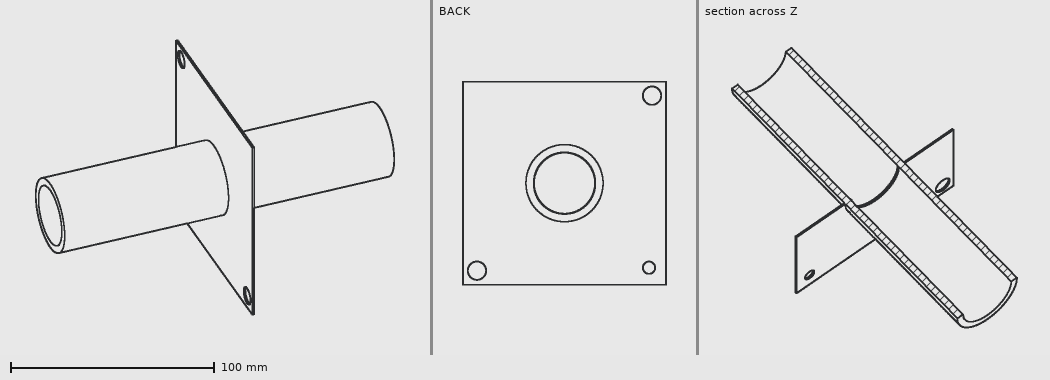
import cadquery as cq

plate_side = 100.0
plate_thickness = 1.0

tube_length = 175.0
tube_outer_diameter = 38.0
tube_bore_diameter = 30.5

plate_opening_diameter = 30.0

fixing_hole_diameter = 9.0
fixing_hole_offset = 43.0
small_hole_diameter = 6.0
small_hole_offset = fixing_hole_offset - (fixing_hole_diameter - small_hole_diameter) / 2


def disc(diameter, length, x=0, z=0):
    """Cylinder along Y, centred on the XZ plane at the given place."""
    return cq.Workplane("XZ").center(x, z).circle(diameter / 2).extrude(length / 2, both=True)


plate = cq.Workplane("XY").box(plate_side, plate_thickness, plate_side)

corner_holes = [
    (fixing_hole_diameter, -fixing_hole_offset, fixing_hole_offset),
    (fixing_hole_diameter, fixing_hole_offset, -fixing_hole_offset),
    (small_hole_diameter, -small_hole_offset, -small_hole_offset),
]
for diameter, x, z in corner_holes:
    plate = plate.cut(disc(diameter, plate_thickness, x, z))
plate = plate.cut(disc(plate_opening_diameter, plate_thickness))

tube = disc(tube_outer_diameter, tube_length).cut(disc(tube_bore_diameter, tube_length))

result = plate.union(tube)